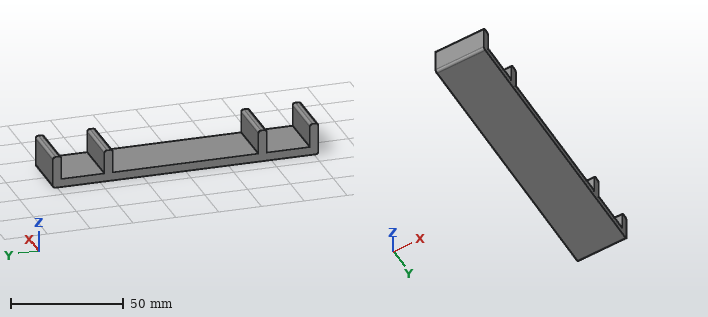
import cadquery as cq

length = 124.0
width = 25.0
height = 15.0

thickness = 4.0
end_pocket = 20.1
edge_radius = 1.2

result = cq.Workplane("XY").box(width, length, thickness, centered=(True, True, False))

end_wall_y = (length - thickness) / 2
inner_wall_y = end_wall_y - thickness - end_pocket
wall_positions = [(0, side * y) for side in (-1, 1) for y in (end_wall_y, inner_wall_y)]
walls = (
    cq.Workplane("XY")
    .pushPoints(wall_positions)
    .box(width, thickness, height, centered=(True, True, False))
)
result = result.union(walls)

result = result.faces(">Z").edges("|X").fillet(edge_radius)
result = result.faces("<Z").edges("|X").fillet(edge_radius)